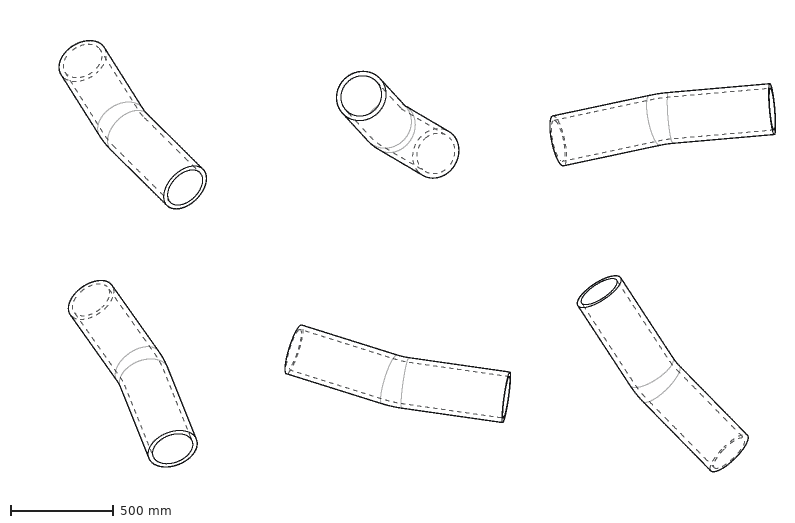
import cadquery as cq
import math

total_length = 1094.0
outer_diameter = 250.0
inner_diameter = 205.0
leg_length = 500.0
bend_angle = 11.0

outer_radius = outer_diameter / 2
sin_bend = math.sin(math.radians(bend_angle))
cos_bend = math.cos(math.radians(bend_angle))
legs_extent = leg_length * (1 + cos_bend) + outer_radius * sin_bend
bend_radius = (total_length - legs_extent) / sin_bend


def bent_rod(diameter):
    """Solid round rod: a straight leg along +X, a bend, then a second leg."""
    first_leg = cq.Workplane("YZ").circle(diameter / 2).extrude(leg_length)
    bend = (
        cq.Workplane("YZ", origin=(leg_length, 0, 0))
        .circle(diameter / 2)
        .revolve(bend_angle, (bend_radius, 0), (bend_radius, 1))
    )
    bend_end = cq.Plane(
        origin=(leg_length + bend_radius * sin_bend, bend_radius * (1 - cos_bend), 0),
        xDir=(-sin_bend, cos_bend, 0),
        normal=(cos_bend, sin_bend, 0),
    )
    second_leg = cq.Workplane(bend_end).circle(diameter / 2).extrude(leg_length)
    return first_leg.union(bend).union(second_leg)


result = bent_rod(outer_diameter).cut(bent_rod(inner_diameter))